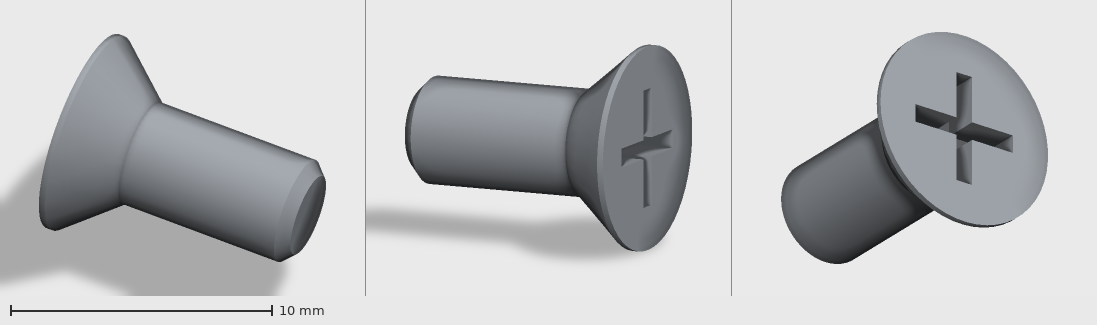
import cadquery as cq

total_length = 9.53
head_diameter = 7.93
head_rim_length = 0.25
head_length = 2.5
shank_diameter = 4.16
tip_chamfer = 0.48

recess_span = 4.6
recess_width = 0.74
recess_depth = 1.51


def make_body():
    """Revolve the head, shank and chamfered tip about the X axis."""
    head_radius = head_diameter / 2
    shank_radius = shank_diameter / 2
    profile = [
        (0, 0),
        (0, head_radius),
        (head_rim_length, head_radius),
        (head_length, shank_radius),
        (total_length - tip_chamfer, shank_radius),
        (total_length, shank_radius - tip_chamfer),
        (total_length, 0),
    ]
    return cq.Workplane("XY").polyline(profile).close().revolve(360, (0, 0, 0), (1, 0, 0))


def make_cross_recess():
    """Two crossed slots running inward from the head face."""
    face = cq.Workplane("YZ")
    level_slot = face.rect(recess_span, recess_width).extrude(recess_depth)
    upright_slot = face.rect(recess_width, recess_span).extrude(recess_depth)
    return level_slot.union(upright_slot)


result = make_body().cut(make_cross_recess())